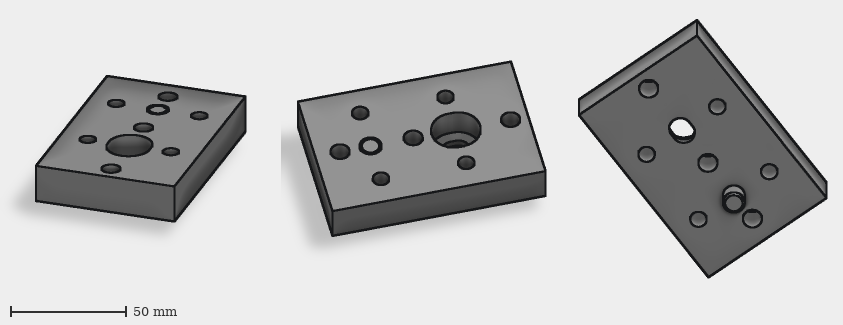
import cadquery as cq

plate_width = 63.5
plate_length = 95.25
plate_thickness = 17.0

small_hole_diameter = 7.1
small_hole_spacing = 38.1
square_center_y = 3.8
front_row_y = square_center_y - small_hole_spacing / 2
rear_row_y = square_center_y + small_hole_spacing / 2

large_hole_diameter = 8.3
large_hole_rear_y = 36.5
large_hole_front_y = -39.7

slot_width = 9.7
slot_straight = 2.4
recess_width = 19.2
recess_depth = 13.4

pin_diameter = 9.5
pin_protrusion = 8.5
pin_chamfer = 1.0
pin_length = plate_thickness + pin_protrusion


def cylinder_below_top(diameter, length, y):
    """Vertical cylinder on the centre line, hanging down from the top face."""
    return cq.Workplane("XY").center(0, y).circle(diameter / 2).extrude(-length)


def slot_below_top(width, depth):
    """Round-ended slot running along Y, hanging down from the top face."""
    return (
        cq.Workplane("XY")
        .center(0, front_row_y)
        .slot2D(slot_straight + width, width, 90)
        .extrude(-depth)
    )


def make_plate():
    plate = cq.Workplane("XY").box(
        plate_width, plate_length, plate_thickness, centered=(True, True, False)
    ).translate((0, 0, -plate_thickness))

    small_holes = (
        cq.Workplane("XY")
        .center(0, square_center_y)
        .rect(small_hole_spacing, small_hole_spacing, forConstruction=True)
        .vertices()
        .circle(small_hole_diameter / 2)
        .extrude(-plate_thickness)
    )
    plate = plate.cut(small_holes)

    for y in (large_hole_front_y, square_center_y, large_hole_rear_y):
        plate = plate.cut(cylinder_below_top(large_hole_diameter, plate_thickness, y))

    plate = plate.cut(slot_below_top(recess_width, recess_depth))
    plate = plate.cut(slot_below_top(slot_width, plate_thickness))

    return plate.cut(cylinder_below_top(pin_diameter, plate_thickness, rear_row_y))


def make_pin():
    """Pin with chamfered ends, its upper end flush with the plate."""
    pin = cylinder_below_top(pin_diameter, pin_length, rear_row_y)
    return pin.faces("<Z or >Z").chamfer(pin_chamfer)


plate = make_plate()
pin = make_pin()

result = cq.Compound.makeCompound([plate.val(), pin.val()])